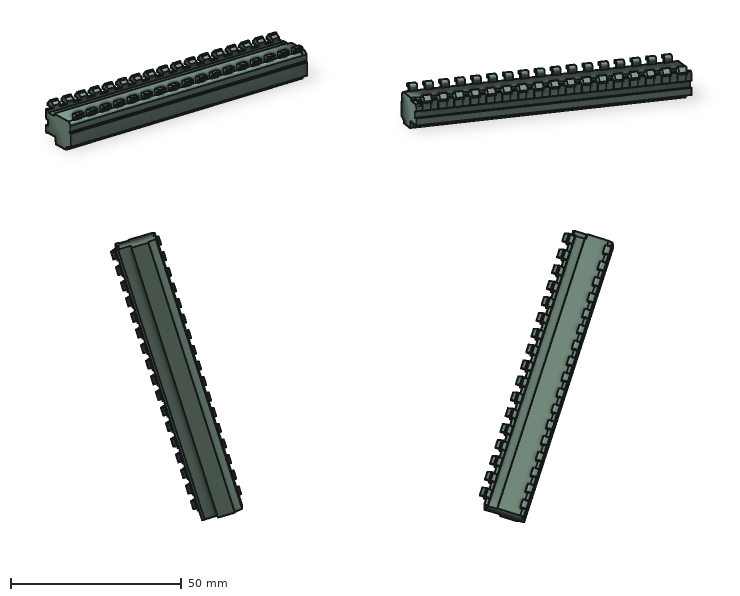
import cadquery as cq

housing_length = 86.4
front_lean = 0.1
end_stop_length = 1.4

housing_width = 12.35
housing_bottom = -7.25
foot_left = 4.95
foot_right = 10.1
foot_bottom = -9.5
foot_right_top = -8.7
foot_draft = 0.25
foot_root_size = 0.15
right_wall_bottom = -7.75
shoulder_x = 12.1
shoulder_z = -3.55
v_notch_x = 11.65
v_notch_z = -3.3
v_notch_top = -3.0
top_round_width = 1.0
top_round_drop = 1.05
top_slope_width = 0.55
top_slope_drop = 0.3

rim_width = 1.05
groove_depth = 0.75
groove_right = 4.1
groove_draft = 0.15

slot_depth = 1.0
slot_top = -3.3
slot_bottom = -5.15
slot_lip_z = -2.85
rail_width = 0.85
rail_radius = 0.5
rail_drop = 0.2

hook_count = 17
hook_pitch = 5.0
hook_width = 2.45
last_hook_gap = 3.1
hook_top = 2.0
embed = 0.5

latch_tip_x = -2.05
latch_tip_height = 0.55
latch_arm_left = -0.78
latch_arm_bend = -2.1
crest_left = -0.8
crest_right = -0.35
crest_step_width = 0.15
crest_step_drop = 0.35
latch_back_height = 0.95

overall_width = 14.7
curl_left = 10.4
curl_thickness = 1.0
curl_radius = 0.8
curl_tip_x = latch_tip_x + overall_width
curl_underside = 1.05
curl_tip_bevel = 0.3

end_floor_depth = 0.85
end_chamfer = 0.5
end_top_bevel = 0.35
end_slope_width = 1.25
cut_clearance = 1.0


def extrude_along_y(outline, y_start, y_end):
    """Close an XZ outline and extrude it from y_start to y_end."""
    return outline.close().extrude(-(y_end - y_start)).translate((0, y_start, 0))


def housing():
    outline = (
        cq.Workplane("XZ")
        .moveTo(0, 0)
        .lineTo(rim_width, 0)
        .lineTo(rim_width + groove_draft, -groove_depth)
        .lineTo(groove_right - groove_draft, -groove_depth)
        .lineTo(groove_right, 0)
        .lineTo(shoulder_x - top_round_width, 0)
        .lineTo(shoulder_x - top_slope_width, -top_slope_drop)
        .tangentArcPoint((shoulder_x, -top_round_drop), relative=False)
        .lineTo(shoulder_x, v_notch_top)
        .lineTo(v_notch_x, v_notch_z)
        .lineTo(shoulder_x, shoulder_z)
        .lineTo(housing_width, shoulder_z)
        .lineTo(housing_width, right_wall_bottom)
        .lineTo(foot_right, foot_right_top)
        .lineTo(foot_right, foot_bottom)
        .lineTo(foot_left, foot_bottom)
        .lineTo(foot_left - foot_draft, housing_bottom - foot_root_size)
        .tangentArcPoint(
            (foot_left - foot_draft - foot_root_size, housing_bottom), relative=False
        )
        .lineTo(rail_width, housing_bottom)
        .lineTo(rail_width, housing_bottom - rail_drop)
        .lineTo(rail_radius, housing_bottom - rail_drop)
        .radiusArc((0, housing_bottom - rail_drop + rail_radius), rail_radius)
        .lineTo(0, slot_bottom)
        .lineTo(slot_depth, slot_bottom)
        .lineTo(slot_depth, slot_top)
        .lineTo(0, slot_lip_z)
    )
    return extrude_along_y(outline, -front_lean, housing_length)


def front_draft():
    """Wedge that leans the front end face outwards from the top face down to the foot."""
    return (
        cq.Workplane("YZ")
        .moveTo(-front_lean, 0)
        .lineTo(0, 0)
        .lineTo(-front_lean, foot_bottom)
        .close()
        .extrude(housing_width)
    )


def end_relief():
    """Material removed at the far end: the rim, its corner, and the edges of the top face."""
    left = (
        cq.Workplane("XZ")
        .moveTo(0, cut_clearance)
        .lineTo(0, -end_floor_depth - end_chamfer)
        .lineTo(end_chamfer, -end_floor_depth)
        .lineTo(groove_right, -end_floor_depth)
        .lineTo(groove_right, -end_chamfer)
        .lineTo(groove_right + end_top_bevel, 0)
        .lineTo(groove_right + end_top_bevel, cut_clearance)
    )
    right = (
        cq.Workplane("XZ")
        .moveTo(shoulder_x - end_slope_width, 0)
        .lineTo(shoulder_x, -top_round_drop)
        .lineTo(shoulder_x, 0)
    )
    start = housing_length - end_stop_length
    return extrude_along_y(left, start, housing_length).union(
        extrude_along_y(right, start, housing_length)
    )


def latch_hook(y_start):
    outline = (
        cq.Workplane("XZ")
        .moveTo(latch_tip_x, 0)
        .lineTo(latch_tip_x, latch_tip_height)
        .lineTo(crest_left, hook_top)
        .lineTo(crest_right, hook_top)
        .lineTo(crest_right + crest_step_width, hook_top - crest_step_drop)
        .lineTo(rim_width, latch_back_height)
        .lineTo(rim_width, 0)
        .lineTo(embed, 0)
        .lineTo(embed, slot_lip_z + embed)
        .lineTo(0, slot_lip_z)
        .radiusArc((latch_arm_left, latch_arm_bend), -latch_arm_left)
        .lineTo(latch_arm_left, 0)
    )
    return extrude_along_y(outline, y_start, y_start + hook_width)


def curled_hook(y_start):
    outline = (
        cq.Workplane("XZ")
        .moveTo(curl_left, -embed)
        .lineTo(curl_left, hook_top - curl_radius)
        .radiusArc((curl_left + curl_radius, hook_top), curl_radius)
        .lineTo(curl_tip_x - curl_tip_bevel, hook_top)
        .lineTo(curl_tip_x, hook_top - curl_tip_bevel)
        .lineTo(curl_tip_x, curl_underside)
        .lineTo(curl_left + curl_thickness, curl_underside)
        .lineTo(curl_left + curl_thickness, 0)
        .lineTo(curl_left + curl_thickness - embed, -embed)
    )
    return extrude_along_y(outline, y_start, y_start + hook_width)


result = housing().cut(front_draft()).cut(end_relief())
for index in range(hook_count):
    hook_centre = housing_length - last_hook_gap - index * hook_pitch
    hook_start = hook_centre - hook_width / 2
    result = result.union(latch_hook(hook_start)).union(curled_hook(hook_start))